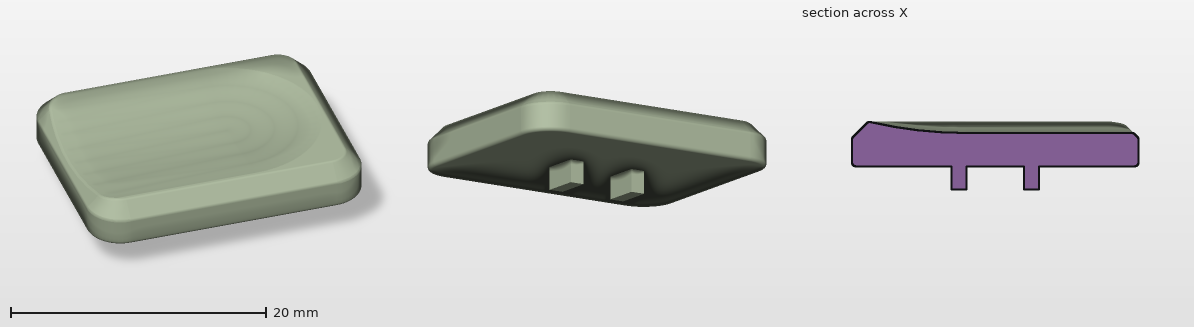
import cadquery as cq

width = 18.0
length = 22.5
body_height = 3.5
corner_radius = 2.75
top_chamfer = 1.25
edge_radius = 0.3
chamfer_foot_z = body_height - top_chamfer

tolerance = 0.01

dish_half_width = 7.45
dish_depth = 0.85
dish_center_y = 2.3
dish_radius = (dish_half_width**2 + dish_depth**2) / (2 * dish_depth)
dish_center_z = body_height - dish_depth + dish_radius
trough_length = length

stem_width = 3.0
stem_thickness = 1.2
stem_spacing = 5.7
stem_length = 1.84


def make_body():
    """Rounded rectangular slab with a chamfered top, bottom on z = 0."""
    slab = cq.Workplane("XY").rect(width, length).extrude(body_height)
    slab = slab.edges("|Z").fillet(corner_radius)
    return slab.faces(">Z").edges().chamfer(top_chamfer)


def make_dish_cutter():
    """Spherical cap joined to a trough of the same radius that leaves through the -Y side."""
    sphere = cq.Workplane("XY").sphere(dish_radius)
    sphere = sphere.translate((0, dish_center_y, dish_center_z))
    rear_half = (
        cq.Workplane("XY")
        .box(2 * dish_radius, dish_radius, 2 * dish_radius, centered=(True, False, True))
        .translate((0, dish_center_y, dish_center_z))
    )
    trough = (
        cq.Workplane("XZ", origin=(0, dish_center_y, dish_center_z))
        .circle(dish_radius)
        .extrude(trough_length)
    )
    return sphere.intersect(rear_half).union(trough)


def round_edges(body):
    """Round the base, the chamfer foot and the whole rim of the top and dish.

    The seams running down the corners and the seam across the dish stay as they are.
    """

    def is_rounded(edge):
        box = edge.BoundingBox()
        is_level = box.zlen < tolerance
        is_on_rim = box.zmin > chamfer_foot_z + tolerance
        is_dish_seam = abs(edge.Center().y - dish_center_y) < tolerance
        return (is_level or is_on_rim) and not is_dish_seam

    return body.edges().filter(is_rounded).fillet(edge_radius)


def make_stems():
    """Pair of rectangular stems hanging below the body."""
    return (
        cq.Workplane("XY")
        .pushPoints([(0, -stem_spacing / 2), (0, stem_spacing / 2)])
        .rect(stem_width, stem_thickness)
        .extrude(-stem_length)
    )


body = make_body().cut(make_dish_cutter())
body = round_edges(body)
result = body.union(make_stems())